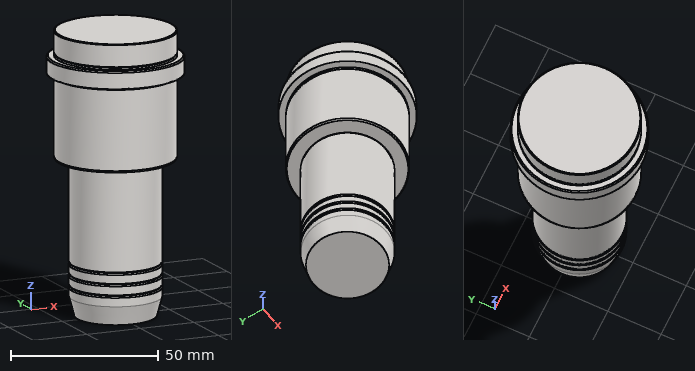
import cadquery as cq
import math

total_height = 100.0

body_radius = 21.0
body_bottom = 55.0
edge_chamfer_width = 0.4
head_chamfer_height = 0.3
body_chamfer_height = 0.7

flange_radius = 23.5
flange_bottom = 85.0
flange_top = 91.1
flange_chamfer = 0.5

shank_radius = 16.0
tip_height = 7.0
tip_angle = 15.0

groove_width = 1.0
groove_depth = 0.5
neck_height = 1.0
neck_depth = 0.5
ring_groove_count = 3
ring_groove_pitch = 4.0
first_ring_groove_bottom = 10.0


def cylinder(radius, bottom, top):
    """Solid cylinder on the Z axis between two heights."""
    return cq.Workplane("XY").workplane(offset=bottom).circle(radius).extrude(top - bottom)


def revolve_profile(profile):
    """Revolve a closed outline of (radius, height) points around the Z axis."""
    return cq.Workplane("XZ").polyline(profile).close().revolve(360, (0, 0), (0, 1))


def cut_groove(part, outer_radius, bottom):
    """Cut a V-shaped ring groove into a cylindrical surface."""
    profile = [
        (outer_radius, bottom),
        (outer_radius - groove_depth, bottom + groove_width / 2),
        (outer_radius, bottom + groove_width),
    ]
    return part.cut(revolve_profile(profile))


def make_shank():
    """Round shank with a conical tip, ring grooves and a relief neck under the body."""
    tip_radius = shank_radius - tip_height * math.tan(math.radians(tip_angle))
    profile = [
        (0, 0),
        (tip_radius, 0),
        (shank_radius, tip_height),
        (shank_radius, body_bottom),
        (0, body_bottom),
    ]
    shank = revolve_profile(profile)
    for index in range(ring_groove_count):
        shank = cut_groove(shank, shank_radius, first_ring_groove_bottom + index * ring_groove_pitch)
    neck_bottom = body_bottom - neck_height
    neck_space = cylinder(shank_radius, neck_bottom, body_bottom).cut(
        cylinder(shank_radius - neck_depth, neck_bottom, body_bottom)
    )
    return shank.cut(neck_space)


def make_body():
    """Body and head cylinder, chamfered at both ends and grooved on each side of the flange."""
    chamfered_radius = body_radius - edge_chamfer_width
    profile = [
        (0, body_bottom),
        (chamfered_radius, body_bottom),
        (body_radius, body_bottom + body_chamfer_height),
        (body_radius, total_height - head_chamfer_height),
        (chamfered_radius, total_height),
        (0, total_height),
    ]
    body = revolve_profile(profile)
    for bottom in (flange_bottom - groove_width, flange_top):
        body = cut_groove(body, body_radius, bottom)
    return body


def make_flange():
    """Collar with a chamfered upper edge."""
    return cylinder(flange_radius, flange_bottom, flange_top).edges(">Z").chamfer(flange_chamfer)


result = make_shank().union(make_body()).union(make_flange())